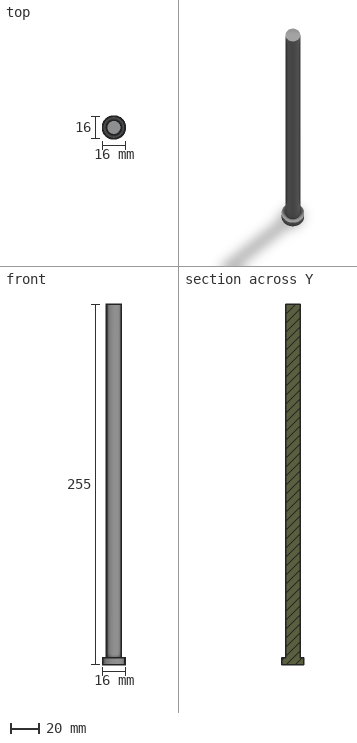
import cadquery as cq

total_length = 255.0
head_diameter = 16.0
head_height = 5.0
shank_diameter = 10.5
root_fillet_radius = 0.2

shank_radius = shank_diameter / 2
head_radius = head_diameter / 2
fillet_top = head_height + root_fillet_radius
fillet_outer_radius = shank_radius + root_fillet_radius

half_profile = (
    cq.Workplane("XZ")
    .lineTo(head_radius, 0)
    .lineTo(head_radius, head_height)
    .lineTo(fillet_outer_radius, head_height)
    .radiusArc((shank_radius, fillet_top), root_fillet_radius)
    .lineTo(shank_radius, total_length)
    .lineTo(0, total_length)
    .close()
)

result = half_profile.revolve(360, (0, 0, 0), (0, 1, 0))